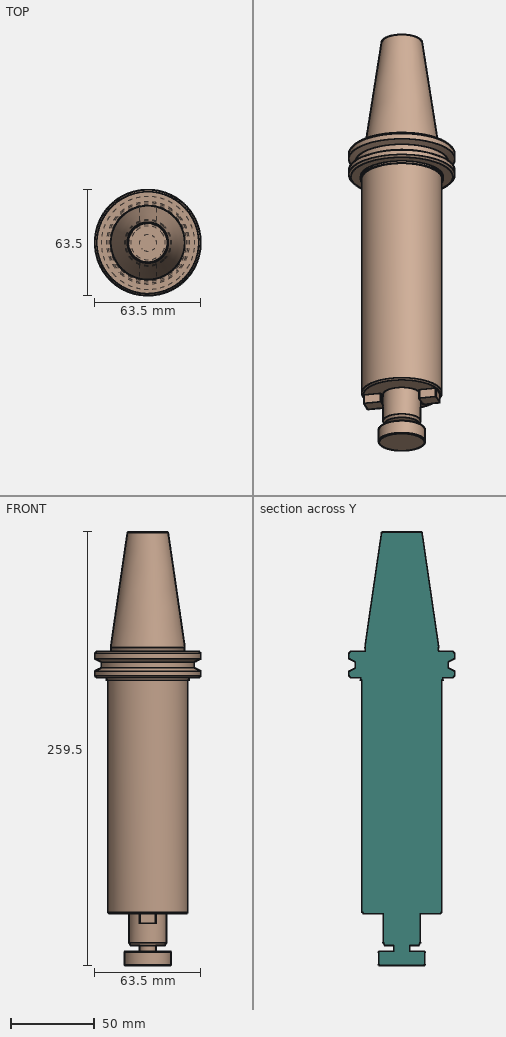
import cadquery as cq

total_height = 259.5

taper_length = 68.5
taper_rate = 7 / 24
taper_diameter = 44.4
taper_top_chamfer = 0.5
relief_diameter = 44.0
relief_width = 1.3
collar_length = 0.8
flange_drop = 2.9

flange_diameter = 63.5
flange_thickness = 16.0
flange_chamfer = 1.3
groove_diameter = 55.8
groove_floor_width = 3.5
groove_flank_height = 1.95
groove_center_drop = 8.3

body_diameter = 48.0
body_bottom_chamfer = 1.0
shoulder_diameter = 49.5
shoulder_height = 1.3

pilot_diameter = 22.5
pilot_length = 19.0
pilot_chamfer_height = 1.8
pilot_chamfer_depth = 1.0

screw_head_diameter = 28.0
screw_head_height = 8.5
screw_head_chamfer = 0.5
screw_neck_diameter = 10.0
screw_neck_length = 3.5

key_width = 10.0
key_height = 5.5
key_span = 44.5
key_gap = 23.3
key_chamfer = 0.5

pilot_bottom = screw_head_height + screw_neck_length
body_bottom = pilot_bottom + pilot_length
gauge_plane = total_height - taper_length
flange_top = gauge_plane - flange_drop
flange_bottom = flange_top - flange_thickness
groove_center = flange_top - groove_center_drop


def cylinder(diameter, bottom, top):
    return cq.Workplane("XY").workplane(offset=bottom).circle(diameter / 2).extrude(top - bottom)


def make_taper():
    large_radius = taper_diameter / 2
    small_radius = large_radius - taper_length * taper_rate / 2
    relief_radius = relief_diameter / 2
    relief_top = gauge_plane - collar_length
    relief_bottom = relief_top - relief_width
    outline = [
        (0, flange_top),
        (large_radius, flange_top),
        (relief_radius, relief_bottom),
        (relief_radius, relief_top),
        (large_radius, relief_top),
        (large_radius, gauge_plane),
        (small_radius, total_height),
        (0, total_height),
    ]
    taper = cq.Workplane("XZ").polyline(outline).close().revolve(360, (0, 0), (0, 1))
    return taper.faces(">Z").chamfer(taper_top_chamfer)


def make_flange():
    flange = cylinder(flange_diameter, flange_bottom, flange_top)
    flange = flange.faces("<Z or >Z").chamfer(flange_chamfer)
    outer_radius = flange_diameter / 2
    floor_radius = groove_diameter / 2
    floor_half = groove_floor_width / 2
    mouth_half = floor_half + groove_flank_height
    groove_outline = [
        (floor_radius, groove_center - floor_half),
        (outer_radius, groove_center - mouth_half),
        (outer_radius, groove_center + mouth_half),
        (floor_radius, groove_center + floor_half),
    ]
    groove = cq.Workplane("XZ").polyline(groove_outline).close().revolve(360, (0, 0), (0, 1))
    return flange.cut(groove)


def make_body():
    body = cylinder(body_diameter, body_bottom, flange_bottom)
    body = body.faces("<Z").chamfer(body_bottom_chamfer)
    shoulder = cylinder(shoulder_diameter, flange_bottom - shoulder_height, flange_bottom)
    return body.union(shoulder)


def make_pilot():
    pilot = cylinder(pilot_diameter, pilot_bottom, body_bottom)
    return pilot.faces("<Z").chamfer(pilot_chamfer_height, pilot_chamfer_depth)


def make_screw():
    head = cylinder(screw_head_diameter, 0, screw_head_height)
    head = head.faces("<Z or >Z").chamfer(screw_head_chamfer)
    neck = cylinder(screw_neck_diameter, screw_head_height, pilot_bottom)
    return head.union(neck)


def make_keys():
    key_center = (key_span + key_gap) / 4
    return (
        cq.Workplane("XY")
        .workplane(offset=body_bottom - key_height)
        .pushPoints([(0, key_center), (0, -key_center)])
        .rect(key_width, (key_span - key_gap) / 2)
        .extrude(key_height)
        .edges("|Z")
        .chamfer(key_chamfer)
    )


result = (
    make_body()
    .union(make_flange())
    .union(make_taper())
    .union(make_pilot())
    .union(make_screw())
    .union(make_keys())
)